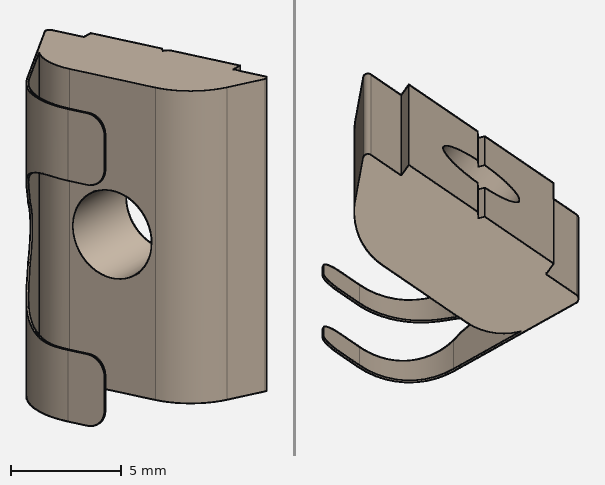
import cadquery as cq
import math

length = 15.0
width = 11.78
depth = 9.0
wall_angle = math.radians(25.0)

block_front = 4.5
ledge_y = 8.4
step_half_width = 3.99
edge_radius = 0.22
front_radius = 3.0
notch_half_width = 0.2
notch_depth = 0.22
hole_diameter = 4.2

sheet_thickness = 0.1
bend_radius = 4.05
sheet_root_y = 6.9
tab_end_x = 2.43
tab_corner_radius = 0.9

window_half_height = 4.06
window_half_length = 4.5
window_setback = 0.78
window_points = 24
relief_radius = 3.3
relief_x = -0.39

sin_wall = math.sin(wall_angle)
cos_wall = math.cos(wall_angle)
bend_angle = math.pi / 2 - wall_angle


def wall_x(y):
    """Half width of the block between its sloping walls at height y."""
    tangent_x = width / 2 - edge_radius + edge_radius * cos_wall
    tangent_y = ledge_y - edge_radius - edge_radius * sin_wall
    return tangent_x + (y - tangent_y) * math.tan(wall_angle)


bend_start_y = bend_radius * (1 - math.cos(bend_angle))
bend_start_x = -wall_x(bend_start_y)
bend_x = bend_start_x + bend_radius * math.sin(bend_angle)


def bend_point(radius, angle):
    """Point on the bend; angle is measured from the flat tab."""
    return bend_x - radius * math.sin(angle), bend_radius - radius * math.cos(angle)


def make_block():
    half_outline = [
        (step_half_width, depth),
        (step_half_width, ledge_y),
        (wall_x(ledge_y), ledge_y),
        (wall_x(block_front), block_front),
    ]
    mirrored = [(-x, y) for x, y in reversed(half_outline)]
    notch = [(-notch_half_width, depth), (0, depth - notch_depth), (notch_half_width, depth)]
    block = (
        cq.Workplane("XY")
        .polyline(half_outline + mirrored + notch)
        .close()
        .extrude(length / 2, both=True)
    )
    for y, radius in ((ledge_y, edge_radius), (block_front, front_radius)):
        for side in (-1, 1):
            corner = cq.selectors.NearestToPointSelector((side * wall_x(y), y, 0))
            block = block.edges("|Z").edges(corner).fillet(radius)
    hole = cq.Workplane("XZ").circle(hole_diameter / 2).extrude(-depth)
    return block.cut(hole)


def make_window():
    """Cutter for the sheet: a flattened-sheet ellipse projected along Y, plus a round relief."""
    bend_length = bend_radius * bend_angle

    def projected_x(distance):
        if distance <= bend_length:
            return bend_x - bend_radius * math.sin(distance / bend_radius)
        return bend_start_x - (distance - bend_length) * sin_wall

    curve = []
    for i in range(window_points + 1):
        angle = math.pi * (0.5 - i / window_points)
        distance = window_setback + window_half_length * math.cos(angle)
        curve.append((projected_x(distance), window_half_height * math.sin(angle)))
    window = (
        cq.Workplane("XZ")
        .moveTo(tab_end_x, window_half_height)
        .lineTo(*curve[0])
        .spline(curve[1:], includeCurrent=True)
        .lineTo(tab_end_x, -window_half_height)
        .close()
        .extrude(-block_front)
    )
    relief = cq.Workplane("XZ").center(relief_x, 0).circle(relief_radius).extrude(-block_front)
    return window.union(relief)


def make_spring():
    """Cut the window in the outer skin, then thicken it inwards so cut edges stay square to the sheet."""
    root = cq.Vector(-wall_x(sheet_root_y), sheet_root_y)
    bend_start = cq.Vector(bend_start_x, bend_start_y)
    bend_middle = cq.Vector(*bend_point(bend_radius, bend_angle / 2))
    bend_end = cq.Vector(bend_x, 0)
    skin_lines = [
        cq.Edge.makeLine(root, bend_start),
        cq.Edge.makeThreePointArc(bend_start, bend_middle, bend_end),
        cq.Edge.makeLine(bend_end, cq.Vector(tab_end_x, 0)),
    ]
    window = make_window().val()
    bottom = cq.Vector(0, 0, -length / 2)
    bend_center = cq.Vector(bend_x, bend_radius)
    spring = cq.Workplane("XY")
    for line in skin_lines:
        strip = cq.occ_impl.shapes.extrude(line.translate(bottom), cq.Vector(0, 0, length))
        for skin in strip.cut(window).Faces():
            inward = bend_center - line.positionAt(0.5)
            side = math.copysign(1, skin.normalAt().dot(inward))
            spring = spring.add(skin.thicken(side * sheet_thickness))
    return spring.combine().faces(">X").edges("|Y").fillet(tab_corner_radius)


result = make_block().union(make_spring())